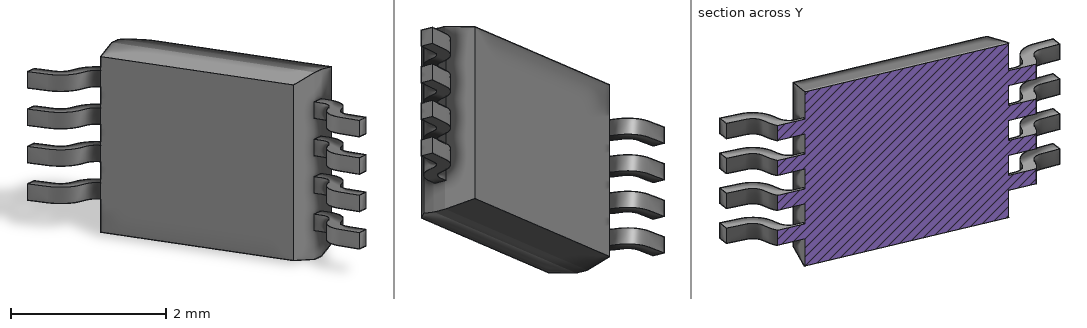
import cadquery as cq
import math


SPAN = 4.9
BODY_WIDTH = 3.0
BODY_HEIGHT = 2.5

BELT = 0.18
BACK_DEPTH = 0.39
FRONT_DEPTH = 0.425
DRAFT_ANGLE = 10.0

BEVEL_WIDTH = 0.24
BEVEL_DEPTH = 0.2

LEADS_PER_SIDE = 4
LEAD_PITCH = 0.5
LEAD_WIDTH = 0.22
LEAD_THICKNESS = 0.18
INNER_RADIUS = 0.185
SHOULDER = 0.115
SHANK = 0.11
SHANK_ANGLE = math.radians(73)
FOOT_ANGLE = math.radians(3)
STANDOFF = 0.1
EMBED = 0.1

BELT_BACK = BELT / 2
BELT_FRONT = -BELT / 2
BODY_BACK = BELT_BACK + BACK_DEPTH
BODY_FRONT = BELT_FRONT - FRONT_DEPTH
TIP_FRONT = BODY_FRONT - STANDOFF
OUTER_RADIUS = INNER_RADIUS + LEAD_THICKNESS
MID_RADIUS = INNER_RADIUS + LEAD_THICKNESS / 2


def body_slab(y_start, depth, direction, taper):
    """Body cross-section extruded from y_start; direction is +1 for +Y, -1 for -Y."""
    plane = cq.Plane(origin=(0, y_start, 0), xDir=(1, 0, 0), normal=(0, direction, 0))
    return cq.Workplane(plane).rect(BODY_WIDTH, BODY_HEIGHT).extrude(depth, taper=taper)


def bevel_cutter():
    """Prism that removes the -X edge of the back face."""
    side = -BODY_WIDTH / 2
    bevel_low_x = side + (BACK_DEPTH - BEVEL_DEPTH) * math.tan(math.radians(DRAFT_ANGLE))
    outline = [
        (side + BEVEL_WIDTH, BODY_BACK),
        (bevel_low_x, BODY_BACK - BEVEL_DEPTH),
        (side, BODY_BACK - BEVEL_DEPTH),
        (side, BODY_BACK),
    ]
    return cq.Workplane("XY").polyline(outline).close().extrude(BODY_HEIGHT / 2, both=True)


def make_body():
    body = body_slab(BELT_FRONT, BELT, 1, 0)
    body = body.union(body_slab(BELT_BACK, BACK_DEPTH, 1, DRAFT_ANGLE))
    body = body.union(body_slab(BELT_FRONT, FRONT_DEPTH, -1, DRAFT_ANGLE))
    return body.cut(bevel_cutter())


def on_circle(centre, radius, angle):
    """Point at the given angle, measured from +Y towards +X."""
    return (centre[0] + radius * math.sin(angle), centre[1] + radius * math.cos(angle))


def foot_drop(foot_x):
    """Fall of the sloping foot between foot_x and the lead tip."""
    return (SPAN / 2 - foot_x) * math.tan(FOOT_ANGLE)


def make_right_lead():
    """Lead on the +X side, centred on Z = 0."""
    bend_x = BODY_WIDTH / 2 + SHOULDER
    upper = (bend_x, 0)
    shank_top = on_circle(upper, 2 * MID_RADIUS, SHANK_ANGLE)
    lower = (
        shank_top[0] + SHANK * math.cos(SHANK_ANGLE),
        shank_top[1] - SHANK * math.sin(SHANK_ANGLE),
    )

    heel = on_circle(lower, -OUTER_RADIUS, FOOT_ANGLE)
    shift = TIP_FRONT - (heel[1] - foot_drop(heel[0]))
    upper = (upper[0], upper[1] + shift)
    lower = (lower[0], lower[1] + shift)

    heel = on_circle(lower, -OUTER_RADIUS, FOOT_ANGLE)
    instep = on_circle(lower, -INNER_RADIUS, FOOT_ANGLE)
    upper_mid = SHANK_ANGLE / 2
    lower_mid = (SHANK_ANGLE + FOOT_ANGLE) / 2
    root_x = BODY_WIDTH / 2 - EMBED

    outline = (
        cq.Workplane("XY")
        .moveTo(root_x, upper[1] + OUTER_RADIUS)
        .lineTo(bend_x, upper[1] + OUTER_RADIUS)
        .threePointArc(
            on_circle(upper, OUTER_RADIUS, upper_mid),
            on_circle(upper, OUTER_RADIUS, SHANK_ANGLE),
        )
        .lineTo(*on_circle(lower, -INNER_RADIUS, SHANK_ANGLE))
        .threePointArc(on_circle(lower, -INNER_RADIUS, lower_mid), instep)
        .lineTo(SPAN / 2, instep[1] - foot_drop(instep[0]))
        .lineTo(SPAN / 2, TIP_FRONT)
        .lineTo(*heel)
        .threePointArc(
            on_circle(lower, -OUTER_RADIUS, lower_mid),
            on_circle(lower, -OUTER_RADIUS, SHANK_ANGLE),
        )
        .lineTo(*on_circle(upper, INNER_RADIUS, SHANK_ANGLE))
        .threePointArc(on_circle(upper, INNER_RADIUS, upper_mid), (bend_x, upper[1] + INNER_RADIUS))
        .lineTo(root_x, upper[1] + INNER_RADIUS)
        .close()
    )
    return outline.extrude(LEAD_WIDTH / 2, both=True)


result = make_body()
right_lead = make_right_lead()
left_lead = right_lead.mirror("YZ")
for index in range(LEADS_PER_SIDE):
    lead_z = (index - (LEADS_PER_SIDE - 1) / 2) * LEAD_PITCH
    for lead in (left_lead, right_lead):
        result = result.union(lead.translate((0, 0, lead_z)))